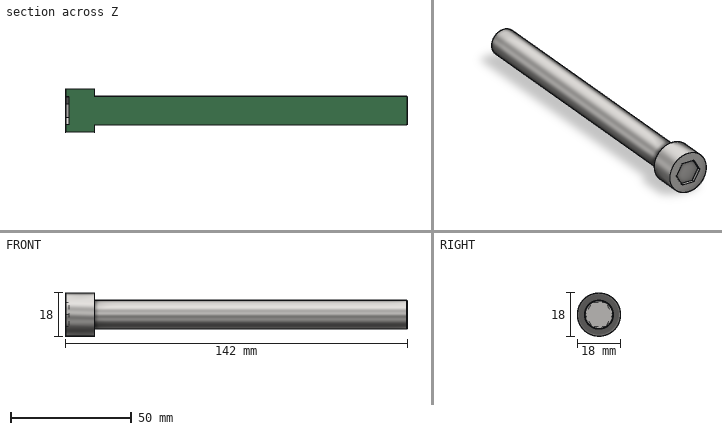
import cadquery as cq
import math

total_length = 142.0
head_diameter = 18.0
shank_diameter = 12.0
head_length = shank_diameter
socket_across_flats = 10.0
socket_depth = 1.4
tip_chamfer = 0.3

shank_length = total_length - head_length
socket_across_corners = socket_across_flats / math.cos(math.pi / 6)


def make_head():
    return cq.Workplane("YZ").circle(head_diameter / 2).extrude(head_length)


def make_shank():
    shank = cq.Workplane("YZ", origin=(head_length, 0, 0)).circle(shank_diameter / 2).extrude(shank_length)
    return shank.faces(">X").chamfer(tip_chamfer)


def make_socket():
    return cq.Workplane("YZ").polygon(6, socket_across_corners).extrude(socket_depth)


result = make_head().union(make_shank()).cut(make_socket())